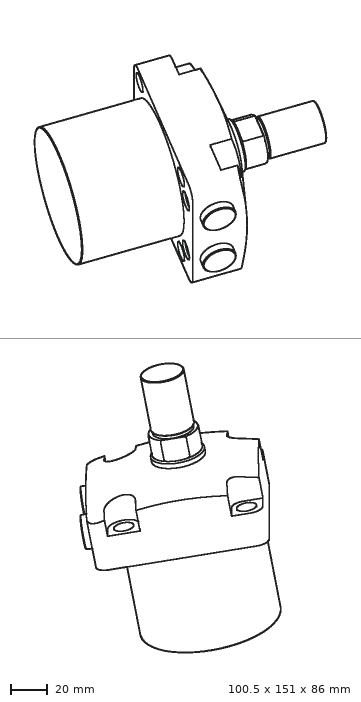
import cadquery as cq
import math


overall_length = 151

barrel_diameter = 78.0
barrel_length = 59.0
barrel_chamfer = 0.5

flange_left = 43.0
flange_right = 53.0
flange_height = 86
flange_corner_radius = 7.0
flange_thickness = 41.0
cone_top_radius = 17.5
cone_slope = 15

hole_offset = 34.0
hole_diameter = 11.0
head_diameter = 18.0
seat_level = 20.0
corner_pocket_wall = 25.7
corner_pocket_radius = 6

port_x = 42.0
port_z = 22.5
port_diameter = 11.0
port_depth = 1.5

plug_diameter = 19.2
plug_height = 4.5
plug_chamfer = 0.5
plug_y = 14.0
plug_z = 19.0

thread_diameter = 24.0
neck_diameter = 22.8
shank_diameter = 28.0
collar_diameter = 29.9
flats_width = 24.0

rod_length = overall_length - barrel_length - flange_thickness
thread_start = 18.0
shank_end = 16.3
collar_height = 3.8
thread_chamfer = 0.5
shank_chamfer_width = 0.3
shank_chamfer_length = 0.9
flats_fillet = 0.9


def cylinder_along_y(x, z, diameter, start, end):
    """Round bar parallel to the Y axis between two Y levels."""
    return cq.Workplane("XZ", origin=(x, start, z)).circle(diameter / 2).extrude(start - end)


def block(x_range, y_range, z_range):
    """Box between the given limits."""
    low, high = zip(x_range, y_range, z_range)
    size = [b - a for a, b in zip(low, high)]
    return cq.Workplane("XY", origin=low).box(*size, centered=False)


def make_flange():
    """Rounded plate whose top is cut to a cone with a flat round tip."""
    plate = block(
        (-flange_left, flange_right),
        (0, flange_thickness),
        (-flange_height / 2, flange_height / 2),
    ).edges("|Y").fillet(flange_corner_radius)

    reach = math.hypot(flange_right, flange_height / 2)
    rim_level = flange_thickness - (reach - cone_top_radius) * math.tan(math.radians(cone_slope))
    cone = (
        cq.Workplane("XY")
        .moveTo(0, 0)
        .lineTo(reach, 0)
        .lineTo(reach, rim_level)
        .lineTo(cone_top_radius, flange_thickness)
        .lineTo(0, flange_thickness)
        .close()
        .revolve(360, (0, 0, 0), (0, 1, 0))
    )
    return plate.intersect(cone)


def make_barrel():
    """Closed cylinder below the mounting face, with a chamfered end."""
    barrel = cylinder_along_y(0, 0, barrel_diameter, -barrel_length, 0)
    return barrel.faces("<Y").chamfer(barrel_chamfer)


def make_corner_pocket(side):
    """Pocket open to the -X side and to the side of Z given by the sign."""
    z_range = sorted((side * corner_pocket_wall, side * flange_height))
    pocket = block((-2 * flange_left, -corner_pocket_wall), (seat_level, flange_thickness), z_range)
    inner_edge = ">X and <Z" if side > 0 else ">X and >Z"
    return pocket.edges("|Y").edges(inner_edge).fillet(corner_pocket_radius)


def make_slot_pocket(side):
    """Round-ended pocket open to the side of Z given by the sign."""
    head = cylinder_along_y(hole_offset, side * hole_offset, head_diameter, seat_level, flange_thickness)
    opening = block(
        (hole_offset - head_diameter / 2, hole_offset + head_diameter / 2),
        (seat_level, flange_thickness),
        sorted((side * hole_offset, side * flange_height)),
    )
    return head.union(opening)


def make_housing():
    """Flange and barrel in one body, with its holes, pockets and port recesses."""
    housing = make_flange().union(make_barrel())
    for side in (-1, 1):
        housing = housing.cut(make_corner_pocket(side)).cut(make_slot_pocket(side))
        for x in (-hole_offset, hole_offset):
            hole = cylinder_along_y(x, side * hole_offset, hole_diameter, 0, flange_thickness)
            housing = housing.cut(hole)
        housing = housing.cut(cylinder_along_y(port_x, side * port_z, port_diameter, 0, port_depth))
    return housing


def make_flat_cutter(side):
    """Cutter for one wrench flat, with a fillet where the flat meets the collar."""
    cutter = block(
        (-shank_diameter, shank_diameter),
        (collar_height, shank_end),
        sorted((side * flats_width / 2, side * shank_diameter)),
    )
    root_edge = "<Y and <Z" if side > 0 else "<Y and >Z"
    return cutter.edges("|X").edges(root_edge).fillet(flats_fillet)


def make_rod():
    """Rod that stands on the top of the flange, turned about the Y axis."""
    thread_radius = thread_diameter / 2
    neck_radius = neck_diameter / 2
    shank_radius = shank_diameter / 2
    collar_radius = collar_diameter / 2
    collar_edge = collar_height - (collar_radius - shank_radius)
    rod = (
        cq.Workplane("XY")
        .moveTo(0, 0)
        .lineTo(collar_radius, 0)
        .lineTo(collar_radius, collar_edge)
        .lineTo(shank_radius, collar_height)
        .lineTo(shank_radius, shank_end - shank_chamfer_length)
        .lineTo(shank_radius - shank_chamfer_width, shank_end)
        .lineTo(neck_radius, shank_end)
        .lineTo(neck_radius, thread_start)
        .lineTo(thread_radius, thread_start + thread_radius - neck_radius)
        .lineTo(thread_radius, rod_length - thread_chamfer)
        .lineTo(thread_radius - thread_chamfer, rod_length)
        .lineTo(0, rod_length)
        .close()
        .revolve(360, (0, 0, 0), (0, 1, 0))
    )
    for side in (-1, 1):
        rod = rod.cut(make_flat_cutter(side))
    return rod.translate((0, flange_thickness, 0))


def make_plug(z):
    """Round plug that stands on the +X side of the flange."""
    plug = cq.Workplane("YZ", origin=(flange_right, plug_y, z)).circle(plug_diameter / 2).extrude(plug_height)
    return plug.faces(">X").chamfer(plug_chamfer)


housing = make_housing()
rod = make_rod()
plugs = [make_plug(z) for z in (-plug_z, plug_z)]

result = cq.Compound.makeCompound([housing.val(), rod.val(), *[plug.val() for plug in plugs]])